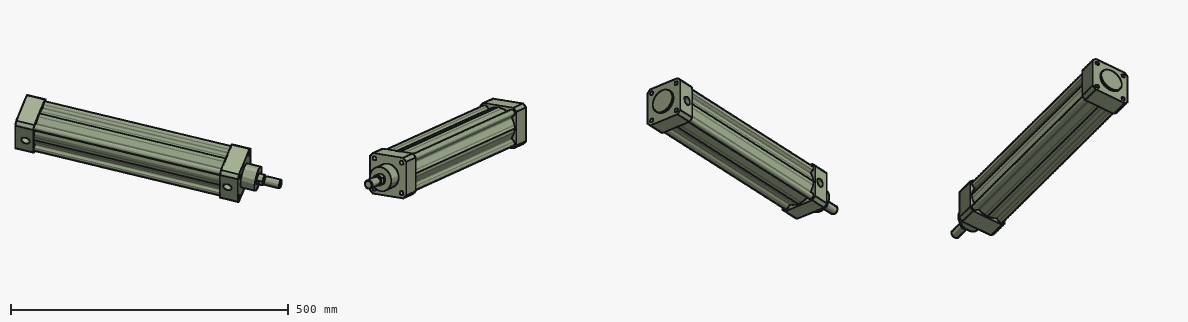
import cadquery as cq
import math

spigot_length = 4.0
cap_length = 34.0
front_cap_start = 391.0
bushing_end = 451.0
collar_end = 454.5
flats_end = 462.0
neck_end = 463.5
rod_tip = 494.0

cap_width = 76.0
cap_corner_radius = 49.5
pilot_diameter = 45.0
fixing_pitch = 57.0
fixing_diameter = 7.5
fixing_depth = 15.0
port_diameter = 16.0
port_depth = 15.0
port_offset = 3.0
rear_port_x = 23.5
front_port_x = 405.0

barrel_radius = 34.0
ridge_width = 13.5
lobe_radius = 6.0
valley_fillet = 1.0

rod_diameter = 20.0
flats_width = 17.0
neck_diameter = 13.5
thread_diameter = 16.5
thread_chamfer = 1.5

rear_cap_end = spigot_length + cap_length
front_cap_end = front_cap_start + cap_length
barrel_length = front_cap_start - rear_cap_end


def section_plane(x):
    """Workplane across the axis at station x, with local axes along Y and Z."""
    return cq.Workplane("YZ", origin=(x, 0, 0))


def rod_section(diameter, start, end):
    """Round bar on the axis between two stations."""
    return section_plane(start).circle(diameter / 2).extrude(end - start)


def make_cap_block(start):
    """Square end block with its corners turned to a common radius."""
    block = section_plane(start).rect(cap_width, cap_width).extrude(cap_length)
    return block.intersect(rod_section(2 * cap_corner_radius, start, start + cap_length))


def make_port(x, z):
    """Blind port cutter entering the -Y face."""
    face = cq.Workplane("XZ", origin=(x, -cap_width / 2, z))
    return face.circle(port_diameter / 2).extrude(-port_depth)


def make_fixing_holes(x, depth):
    """Cutter for the four corner fixing holes, starting at station x."""
    corners = section_plane(x).rect(fixing_pitch, fixing_pitch, forConstruction=True).vertices()
    return corners.circle(fixing_diameter / 2).extrude(depth)


def make_rear_cap():
    """Rear block with a centring spigot, fixing holes and a port."""
    cap = make_cap_block(spigot_length)
    cap = cap.union(rod_section(pilot_diameter, 0, spigot_length))
    cap = cap.cut(make_fixing_holes(spigot_length, fixing_depth))
    return cap.cut(make_port(rear_port_x, -port_offset))


def make_front_cap():
    """Front block with a rod bushing, fixing holes, a port and the rod bore."""
    cap = make_cap_block(front_cap_start)
    cap = cap.union(rod_section(pilot_diameter, front_cap_end, bushing_end))
    cap = cap.cut(make_fixing_holes(front_cap_end, -fixing_depth))
    cap = cap.cut(make_port(front_port_x, port_offset))
    return cap.cut(rod_section(rod_diameter, front_cap_start, bushing_end))


def is_valley(edge):
    """True for an edge where the round barrel meets the side of a corner lobe."""
    center = edge.Center()
    on_barrel = abs(math.hypot(center.y, center.z) - barrel_radius) < 0.05
    return on_barrel and min(abs(center.y), abs(center.z)) > lobe_radius


def make_barrel():
    """Round barrel with a lobe at each corner and a shallow ridge along each side."""
    barrel = rod_section(2 * barrel_radius, rear_cap_end, front_cap_start)

    slot_length = math.sqrt(2) * fixing_pitch + 2 * lobe_radius
    for angle in (45, 135):
        slot = section_plane(rear_cap_end).slot2D(slot_length, 2 * lobe_radius, angle)
        barrel = barrel.union(slot.extrude(barrel_length))
    barrel = barrel.edges("|X").filter(is_valley).fillet(valley_fillet)

    ridge_half_width = ridge_width / 2
    tangent_height = math.sqrt(barrel_radius**2 - ridge_half_width**2)
    peak_height = barrel_radius**2 / tangent_height
    ridge = (
        section_plane(rear_cap_end)
        .moveTo(0, 0)
        .lineTo(ridge_half_width, tangent_height)
        .lineTo(0, peak_height)
        .lineTo(-ridge_half_width, tangent_height)
        .close()
        .extrude(barrel_length)
    )
    for angle in (0, 90, 180, 270):
        barrel = barrel.union(ridge.rotate((0, 0, 0), (1, 0, 0), angle))
    return barrel


def make_rod():
    """Piston rod with a collar, two wrench flats, a neck and a threaded end."""
    flats_length = flats_end - collar_end
    flatted = rod_section(rod_diameter, collar_end, flats_end).intersect(
        section_plane(collar_end).rect(flats_width, rod_diameter).extrude(flats_length)
    )
    thread = rod_section(thread_diameter, neck_end, rod_tip).faces("<X or >X").chamfer(thread_chamfer)
    return (
        rod_section(rod_diameter, front_cap_start, collar_end)
        .union(flatted)
        .union(rod_section(neck_diameter, flats_end, neck_end))
        .union(thread)
    )


rear_cap = make_rear_cap()
barrel = make_barrel()
front_cap = make_front_cap()
rod = make_rod()

result = cq.Compound.makeCompound([rear_cap.val(), barrel.val(), front_cap.val(), rod.val()])